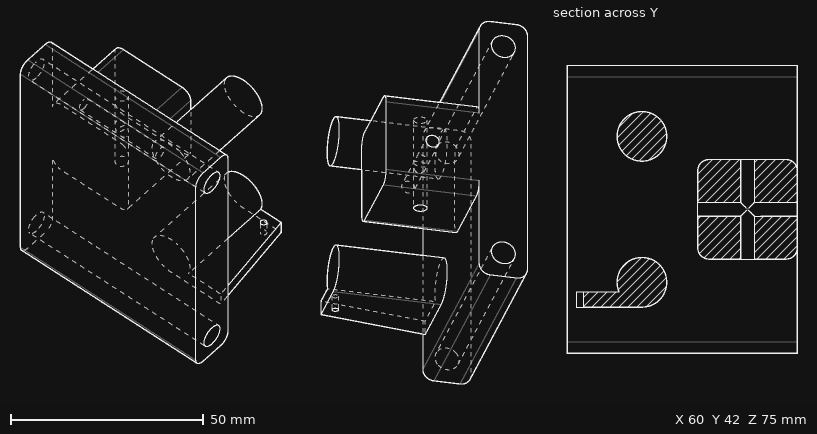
import cadquery as cq

PLATE_WIDTH = 60.0
PLATE_DEPTH = 13.0
PLATE_HEIGHT = 75.0
CORNER_RADIUS = 3.0

BORE_DIAMETER = 6.4
BORE_SPACING = 61.0

BLOCK_SIDE = 26.0
BLOCK_LENGTH = 25.0
BLOCK_HOLE_DIAMETER = 3.5
BLOCK_HOLE_FROM_PLATE = BLOCK_LENGTH / 2

POST_DIAMETER = 13.0
POST_LENGTH = 29.0
POST_X = 40.5
POST_SPACING = 38.0
RIB_THICKNESS = 4.0
RIB_ROOT_X = 57.5
RIB_TIP_X = 53.5
RIB_HOLE_DIAMETER = 1.7
RIB_HOLE_X = 50.0
RIB_HOLE_FROM_TIP = 3.0


def cylinder(diameter, length, start, direction):
    return cq.Workplane(cq.Solid.makeCylinder(diameter / 2, length, cq.Vector(*start), cq.Vector(*direction)))


def make_plate():
    plate = cq.Workplane().box(PLATE_WIDTH, PLATE_DEPTH, PLATE_HEIGHT, centered=(False, False, True))
    plate = plate.edges("|X").fillet(CORNER_RADIUS)
    for side in (-1, 1):
        start = (0, PLATE_DEPTH / 2, side * BORE_SPACING / 2)
        plate = plate.cut(cylinder(BORE_DIAMETER, PLATE_WIDTH, start, (1, 0, 0)))
    return plate


def make_block():
    block = cq.Workplane().box(BLOCK_SIDE, BLOCK_LENGTH, BLOCK_SIDE, centered=(False, False, True))
    block = block.edges("|Y").fillet(CORNER_RADIUS).translate((0, PLATE_DEPTH, 0))
    hole_y = PLATE_DEPTH + BLOCK_HOLE_FROM_PLATE
    block = block.cut(cylinder(BLOCK_HOLE_DIAMETER, BLOCK_SIDE, (0, hole_y, 0), (1, 0, 0)))
    z_start = (BLOCK_SIDE / 2, hole_y, -BLOCK_SIDE / 2)
    return block.cut(cylinder(BLOCK_HOLE_DIAMETER, BLOCK_SIDE, z_start, (0, 0, 1)))


def make_post(center_z):
    return cylinder(POST_DIAMETER, POST_LENGTH, (POST_X, PLATE_DEPTH, center_z), (0, 1, 0))


def make_rib(post_center_z):
    tip_y = PLATE_DEPTH + POST_LENGTH
    rib_bottom = post_center_z - POST_DIAMETER / 2
    rib_outline = [
        (POST_X, PLATE_DEPTH),
        (RIB_ROOT_X, PLATE_DEPTH),
        (RIB_TIP_X, tip_y),
        (POST_X, tip_y),
    ]
    rib = cq.Workplane().workplane(offset=rib_bottom).polyline(rib_outline).close().extrude(RIB_THICKNESS)
    hole_start = (RIB_HOLE_X, tip_y - RIB_HOLE_FROM_TIP, rib_bottom)
    return rib.cut(cylinder(RIB_HOLE_DIAMETER, RIB_THICKNESS, hole_start, (0, 0, 1)))


upper_post_z = POST_SPACING / 2
lower_post_z = -POST_SPACING / 2

result = make_plate().union(make_block())
result = result.union(make_post(upper_post_z))
result = result.union(make_post(lower_post_z).union(make_rib(lower_post_z)))